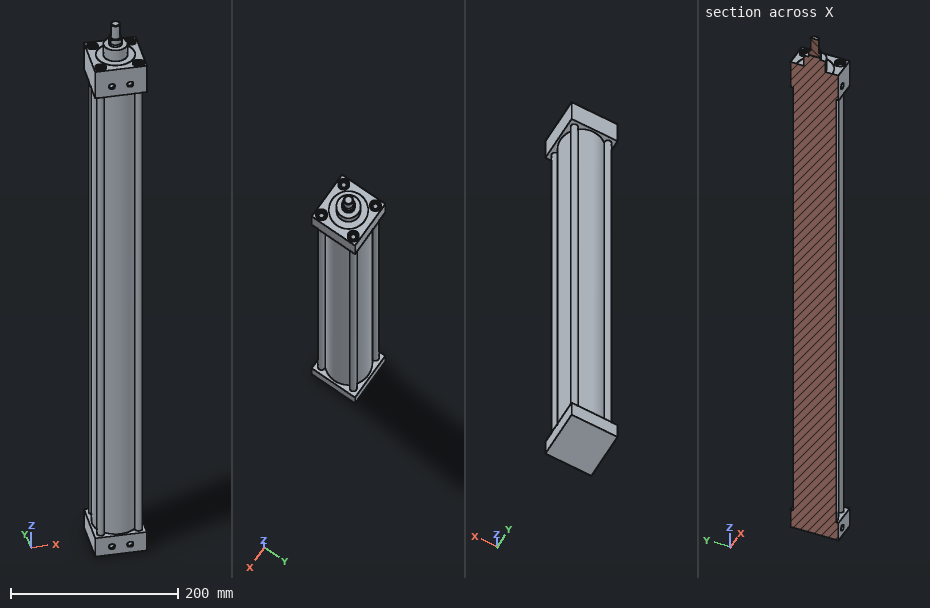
import cadquery as cq
import math

total_length = 746.0
rear_cap_length = 27.0
front_cap_start = 663.0
front_cap_end = 701.0
gland_end = 717.0
collar_end = 720.0

cap_side = 63.5
tube_diameter = 57.5
tie_rod_diameter = 9.0
tie_rod_offset = 23.0
tie_rod_points = [(x, y) for x in (-tie_rod_offset, tie_rod_offset) for y in (-tie_rod_offset, tie_rod_offset)]

gland_diameter = 29.0
recess_diameter = 47.0
recess_depth = 0.2
recess_floor = front_cap_end - recess_depth

pocket_diameter = 13.5
pocket_depth = 1.5
pocket_step_diameter = 10.5
pocket_step_depth = 1.5
pocket_hole_diameter = 7.0
pocket_hole_depth = 1.5

port_diameter = 7.5
port_depth = 3.0
port_offset = 11.0
rear_port_z = 12.0
front_port_z = 677.5

drill_point_angle = 118.0

rod_diameter = 16.0
flat_width = 13.5
flat_length = 4.5
thread_diameter = 11.0
thread_length = 19.5
thread_chamfer = 1.0
shoulder_z = total_length - thread_length


def cylinders(diameter, start, end, points=((0, 0),)):
    """Upright cylinders between two heights, by default a single one on the Z axis."""
    plane = cq.Workplane("XY").workplane(offset=start)
    return plane.pushPoints(points).circle(diameter / 2).extrude(end - start)


def square_cap(start, end):
    """Square cap centred on the Z axis between two heights."""
    return cq.Workplane("XY").workplane(offset=start).rect(cap_side, cap_side).extrude(end - start)


def drill(position, direction, diameter, depth):
    """Cutter for a blind hole with a conical bottom, starting at position."""
    radius = diameter / 2
    point_length = radius / math.tan(math.radians(drill_point_angle / 2))
    straight_part = cq.Solid.makeCylinder(radius, depth, position, direction)
    tip_start = position + direction * depth
    return straight_part.fuse(cq.Solid.makeCone(radius, 0, point_length, tip_start, direction))


def make_barrel():
    """Tube and four tie rods between the two square caps."""
    barrel = square_cap(0, rear_cap_length)
    barrel = barrel.union(cylinders(tube_diameter, rear_cap_length, front_cap_start))
    barrel = barrel.union(cylinders(tie_rod_diameter, rear_cap_length, front_cap_start, tie_rod_points))
    return barrel.union(square_cap(front_cap_start, front_cap_end))


def add_gland(body):
    """Recess in the front face, the gland standing in it and the collar the rod meets."""
    body = body.cut(cylinders(recess_diameter, recess_floor, front_cap_end))
    body = body.union(cylinders(gland_diameter, recess_floor, gland_end))
    return body.union(cylinders(rod_diameter, gland_end, collar_end))


def cut_pockets(body):
    """Two-step pocket with a drilled hole at each tie rod."""
    pocket_floor = front_cap_end - pocket_depth
    step_floor = pocket_floor - pocket_step_depth
    body = body.cut(cylinders(pocket_diameter, pocket_floor, front_cap_end, tie_rod_points))
    body = body.cut(cylinders(pocket_step_diameter, step_floor, pocket_floor, tie_rod_points))
    downward = cq.Vector(0, 0, -1)
    for x, y in tie_rod_points:
        hole_start = cq.Vector(x, y, step_floor)
        body = body.cut(drill(hole_start, downward, pocket_hole_diameter, pocket_hole_depth))
    return body


def cut_ports(body):
    """Pair of drilled ports in each cap."""
    inward = cq.Vector(0, 1, 0)
    for z in (rear_port_z, front_port_z):
        for x in (-port_offset, port_offset):
            port_start = cq.Vector(x, -cap_side / 2, z)
            body = body.cut(drill(port_start, inward, port_diameter, port_depth))
    return body


def make_housing():
    """Barrel, caps and gland as one solid."""
    return cut_ports(cut_pockets(add_gland(make_barrel())))


def make_piston_rod():
    """Rod end with wrench flats on its +X and -X sides and a chamfered thread."""
    flatted_start = shoulder_z - flat_length
    round_part = cylinders(rod_diameter, collar_end, flatted_start)
    flatted = (
        cq.Workplane("XY")
        .workplane(offset=flatted_start)
        .rect(flat_width, rod_diameter)
        .extrude(flat_length)
        .intersect(cylinders(rod_diameter, flatted_start, shoulder_z))
    )
    thread = cylinders(thread_diameter, shoulder_z, total_length)
    thread = thread.faces(">Z").chamfer(thread_chamfer)
    return round_part.union(flatted).union(thread)


housing = make_housing()
piston_rod = make_piston_rod()

result = cq.Compound.makeCompound([housing.val(), piston_rod.val()])